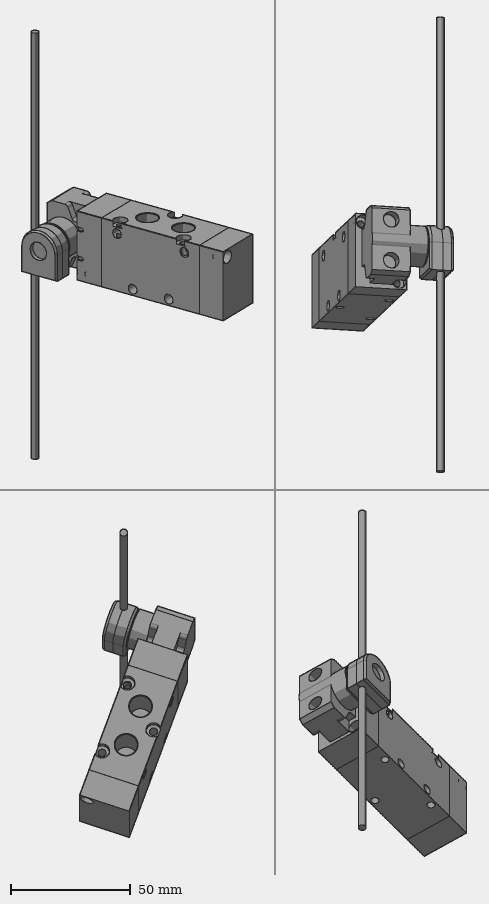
import cadquery as cq
import math


valve_width = 22.0
valve_top = 14.8
valve_bottom = -16.8
valve_start = 8.8
block_start = 21.3
block_end = 70.5
valve_end = 82.5
top_edge_chamfer = 0.2
block_middle = (block_start + block_end) / 2

port_spacing = 18.1
port_radius = 4.7
port_depth = 15.6
port_chamfer = 0.3
side_hole_radius = 2.1
upper_hole_spacing = 34.0
upper_hole_height = 9.5
lower_hole_height = -13.8
mount_hole_radius = 1.65
mount_bore_radius = 3.1
mount_bore_depth = 2.3
mount_hole_offset = 8.5
mount_spacing = 32.0

screw_bore_radius = 3.0
screw_bore_depth = 3.9
screw_hole_radius = 1.4
screw_offset_y = 7.8
upper_screw_height = 11.3
lower_screw_height = -13.3
cap_bore_depth = 5.3
notch_height = 6.6
notch_width = 1.8
notch_length = 3.1
notch_depth = 1.0

housing_face = -8.2
housing_width = 16.4
housing_half_height = 14.8
nose_chamfer_x = 2.3
nose_chamfer_z = 1.5
barrel_radius = 8.5
recess_depth = 3.3
recess_floor = 8.0
recess_top_x = 1.85
recess_floor_x = 4.9
recess_round = 2.0
face_hole_radius = 3.3
face_hole_height = 8.8
face_hole_depth = 5.8

overall_width = 37.8
head_front = valve_width / 2 - overall_width
head_back = -16.4
head_split = -22.0
head_radius = 9.0
head_bottom = -11.9
head_chamfer_y = 1.07
head_chamfer_inset = 0.5
head_recess_radius = 4.0
head_recess_depth = 2.0
neck_radius = 8.0
neck_gap = 0.49
barrel_end = head_back + neck_gap
shaft_radius = 3.9
shaft_socket_depth = 3.0
rod_x = -4.9
rod_radius = 1.6
rod_length = 195.0


def cylinder(radius, length, start, direction):
    return cq.Workplane(cq.Solid.makeCylinder(radius, length, cq.Vector(*start), cq.Vector(*direction)))


def valve_section(x_start, x_end):
    """Length of the valve profile, chamfered along its two top edges."""
    return (
        cq.Workplane("XY")
        .box(x_end - x_start, valve_width, valve_top - valve_bottom, centered=(False, True, False))
        .translate((x_start, 0, valve_bottom))
        .edges("|X and >Z")
        .chamfer(top_edge_chamfer)
    )


def counterbored_hole(start, direction, hole_radius, hole_length, bore_radius, bore_depth):
    hole = cylinder(hole_radius, hole_length, start, direction)
    return hole.union(cylinder(bore_radius, bore_depth, start, direction))


def make_valve_block():
    block = valve_section(block_start, block_end)
    height = valve_top - valve_bottom

    for side in (-1, 1):
        port_x = block_middle + side * port_spacing / 2
        block = block.cut(cylinder(port_radius, port_depth, (port_x, 0, valve_top), (0, 0, -1)))
        mouth_centre = cq.Vector(port_x, 0, valve_top)
        mouth_radius = port_radius + port_chamfer
        mouth = cq.Solid.makeCone(mouth_radius, port_radius, port_chamfer, mouth_centre, cq.Vector(0, 0, -1))
        block = block.cut(cq.Workplane(mouth))

        upper_x = block_middle + side * upper_hole_spacing / 2
        for x, z in ((upper_x, upper_hole_height), (port_x, lower_hole_height)):
            start = (x, -valve_width / 2, z)
            block = block.cut(cylinder(side_hole_radius, valve_width, start, (0, 1, 0)))

    first_mount_x = block_middle - upper_hole_spacing / 2
    mount_places = (
        (first_mount_x, -mount_hole_offset),
        (first_mount_x + mount_spacing / 2, mount_hole_offset),
        (first_mount_x + mount_spacing, -mount_hole_offset),
    )
    for x, y in mount_places:
        start = (x, y, valve_top)
        block = block.cut(
            counterbored_hole(start, (0, 0, -1), mount_hole_radius, height, mount_bore_radius, mount_bore_depth)
        )
    return block


def make_front_cover():
    cover = valve_section(valve_start, block_start)
    length = block_start - valve_start
    for y, z in ((screw_offset_y, upper_screw_height), (-screw_offset_y, lower_screw_height)):
        start = (valve_start, y, z)
        cover = cover.cut(
            counterbored_hole(start, (1, 0, 0), screw_hole_radius, length, screw_bore_radius, screw_bore_depth)
        )
    for z in (-notch_height, notch_height):
        notch = (
            cq.Workplane("XZ", origin=(valve_start, -valve_width / 2 + notch_depth, z))
            .slot2D(2 * notch_length, notch_width)
            .extrude(notch_depth)
        )
        cover = cover.cut(notch)
    return cover


def make_end_cap():
    cap = valve_section(block_end, valve_end)
    start = (valve_end, -screw_offset_y, upper_screw_height)
    return cap.cut(
        counterbored_hole(
            start, (-1, 0, 0), screw_hole_radius, valve_end - block_end, screw_bore_radius, cap_bore_depth
        )
    )


def side_recess(y_start):
    """Cutter for one upper corner pocket whose S-shaped end wall is rounded at both ends."""
    drop = housing_half_height - recess_floor
    run = recess_floor_x - recess_top_x
    slope_length = math.hypot(run, drop)
    round_setback = recess_round * math.tan(math.atan2(drop, run) / 2)
    setback_x = round_setback * run / slope_length
    setback_z = round_setback * drop / slope_length
    return (
        cq.Workplane("XZ", origin=(0, y_start + recess_depth, 0))
        .moveTo(recess_top_x - round_setback, housing_half_height)
        .radiusArc((recess_top_x + setback_x, housing_half_height - setback_z), recess_round)
        .lineTo(recess_floor_x - setback_x, recess_floor + setback_z)
        .radiusArc((recess_floor_x + round_setback, recess_floor), -recess_round)
        .lineTo(valve_start, recess_floor)
        .lineTo(valve_start, housing_half_height)
        .close()
        .extrude(recess_depth)
    )


def make_housing():
    body = (
        cq.Workplane("XZ", origin=(0, housing_width / 2, 0))
        .moveTo(valve_start, housing_half_height)
        .lineTo(housing_face + nose_chamfer_x, housing_half_height)
        .lineTo(housing_face, housing_half_height - nose_chamfer_z)
        .lineTo(housing_face, -housing_half_height + nose_chamfer_z)
        .lineTo(housing_face + nose_chamfer_x, -housing_half_height)
        .lineTo(valve_start, -housing_half_height)
        .close()
        .extrude(housing_width)
    )
    for y_start in (-housing_width / 2, housing_width / 2 - recess_depth):
        recess = side_recess(y_start)
        body = body.cut(recess).cut(recess.mirror("XY"))
    barrel_length = housing_width / 2 - barrel_end
    body = body.union(cylinder(barrel_radius, barrel_length, (0, barrel_end, 0), (0, 1, 0)))
    for z in (-face_hole_height, face_hole_height):
        start = (-barrel_radius, 0, z)
        body = body.cut(cylinder(face_hole_radius, face_hole_depth, start, (1, 0, 0)))
    return body


def head_blank():
    """Round-topped block with chamfered front and back outlines."""
    blank = (
        cq.Workplane("XZ", origin=(0, head_back, 0))
        .moveTo(-head_radius, head_bottom)
        .lineTo(-head_radius, 0)
        .threePointArc((0, head_radius), (head_radius, 0))
        .lineTo(head_radius, head_bottom)
        .close()
        .extrude(head_back - head_front)
    )
    return blank.faces("<Y or >Y").chamfer(head_chamfer_y, head_chamfer_inset)


def make_rod():
    return cylinder(rod_radius, rod_length, (rod_x, head_split, -rod_length / 2), (0, 0, 1))


def make_shaft():
    length = neck_gap + 2 * shaft_socket_depth
    start = (0, head_back - shaft_socket_depth, 0)
    shaft = cylinder(shaft_radius, length, start, (0, 1, 0))
    return shaft.union(cylinder(neck_radius, neck_gap, (0, head_back, 0), (0, 1, 0)))


valve_block = make_valve_block()
front_cover = make_front_cover()
end_cap = make_end_cap()
rod = make_rod()
shaft = make_shaft()
housing = make_housing().cut(shaft)

head = head_blank().cut(rod).cut(shaft)
head = head.cut(cylinder(head_recess_radius, head_recess_depth, (0, head_front, 0), (0, 1, 0)))
outer_side = (
    cq.Workplane("XZ", origin=(0, head_split, 0))
    .rect(4 * head_radius, 4 * head_radius)
    .extrude(head_split - head_front)
)
outer_head = head.intersect(outer_side)
inner_head = head.cut(outer_side)

bodies = (valve_block, front_cover, end_cap, housing, shaft, inner_head, outer_head, rod)
result = cq.Compound.makeCompound([body.val() for body in bodies])